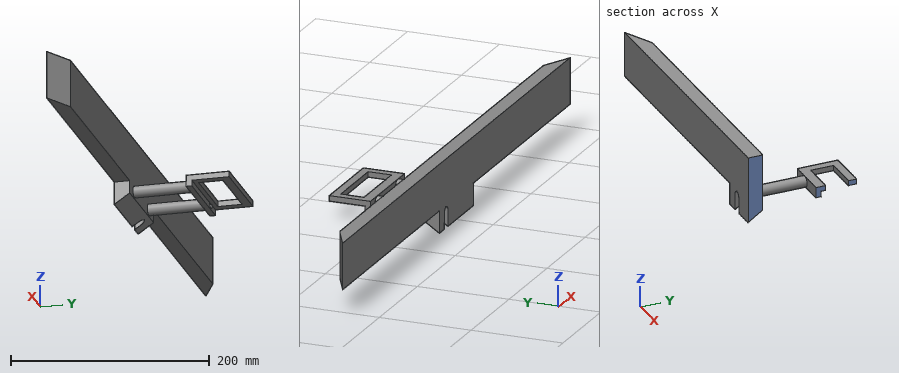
import cadquery as cq

blade_length = 600
blade_height = 50.0
blade_thickness = 16.0
end_miter = 32.0

tab_width = 90
tab_drop = 24
tab_back_drop = 13.0

tube_diameter = 12
bore_diameter = 9.0
tube_spacing = 54
tube_length = 59.0
tube_z = -tube_diameter / 2

slot_depth = 11.5

frame_width = tab_width
frame_depth = 45.0
frame_thickness = 6
lip_thickness = 6
window_width = 72
window_depth = 25.0
window_rear_margin = 9.0

frame_front = blade_thickness + tube_length
frame_rear = frame_front + frame_depth


def box(width, y_start, y_end, z_bottom, z_top):
    """Box centred on X between the given Y and Z limits."""
    return cq.Workplane("XY").box(
        width, y_end - y_start, z_top - z_bottom, centered=(True, False, False)
    ).translate((0, y_start, z_bottom))


def rod(x, diameter, y_start, y_end):
    """Cylinder along Y at the height of the tubes."""
    return (
        cq.Workplane("XZ", origin=(x, y_start, tube_z))
        .circle(diameter / 2)
        .extrude(y_start - y_end)
    )


def make_blade():
    half = blade_length / 2
    return (
        cq.Workplane("XY")
        .moveTo(-half, 0)
        .lineTo(half, 0)
        .lineTo(half - end_miter, blade_thickness)
        .lineTo(end_miter - half, blade_thickness)
        .close()
        .extrude(blade_height)
    )


def make_tab():
    return (
        cq.Workplane("YZ", origin=(-tab_width / 2, 0, 0))
        .polyline([(0, 0), (0, -tab_drop), (blade_thickness, -tab_back_drop), (blade_thickness, 0)])
        .close()
        .extrude(tab_width)
    )


def make_frame():
    plate = box(frame_width, frame_front, frame_rear, -frame_thickness, 0)
    lip = box(frame_width, frame_front, frame_front + lip_thickness, -tube_diameter, 0)
    window_rear = frame_rear - window_rear_margin
    window = box(window_width, window_rear - window_depth, window_rear, -frame_thickness, 0)
    return plate.union(lip).cut(window)


def make_bore(x):
    """Bore through the tab, one tube and the frame lip."""
    return rod(x, bore_diameter, 0, frame_front + lip_thickness)


def make_slot(x):
    """Vertical slot from the bore down, open at the front and closed by a round end."""
    end_center = slot_depth - bore_diameter / 2
    channel = box(bore_diameter, 0, end_center, -tab_drop, tube_z).translate((x, 0, 0))
    round_end = (
        cq.Workplane("XY", origin=(x, end_center, -tab_drop))
        .circle(bore_diameter / 2)
        .extrude(tube_z + tab_drop)
    )
    return channel.union(round_end)


left_tube_x = -tube_spacing / 2
right_tube_x = tube_spacing / 2

result = make_blade().union(make_tab()).union(make_frame())
for tube_x in (left_tube_x, right_tube_x):
    result = result.union(rod(tube_x, tube_diameter, blade_thickness, frame_front))
result = result.cut(make_bore(left_tube_x)).cut(make_slot(left_tube_x))